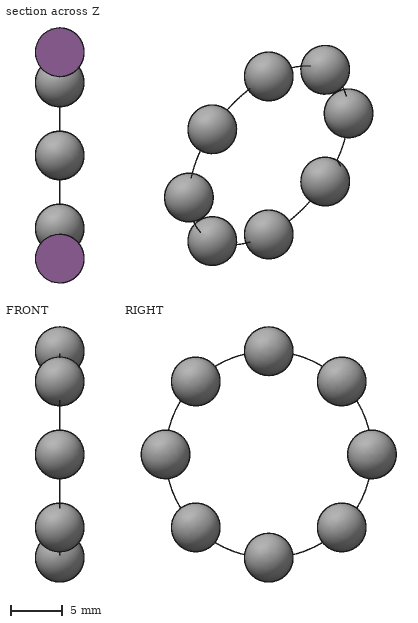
import cadquery as cq

outer_diameter = 24.75
ball_diameter = 4.75
ball_count = 8
wire_diameter = 0.02

ball_radius = ball_diameter / 2
ring_radius = outer_diameter / 2 - ball_radius


def make_wire():
    """Closed circular wire around the X axis, passing through the ball centres."""
    center = cq.Vector(0, 0, 0)
    ring_axis = cq.Vector(1, 0, 0)
    return cq.Workplane(cq.Solid.makeTorus(ring_radius, wire_diameter / 2, center, ring_axis))


def make_ball(angle):
    """Ball centred on the wire, its pole axis pointing along the ring radius."""
    return (
        cq.Workplane("XY")
        .sphere(ball_radius)
        .translate((0, 0, ring_radius))
        .rotate((0, 0, 0), (1, 0, 0), angle)
    )


result = make_wire()
for index in range(ball_count):
    result = result.union(make_ball(index * 360 / ball_count))